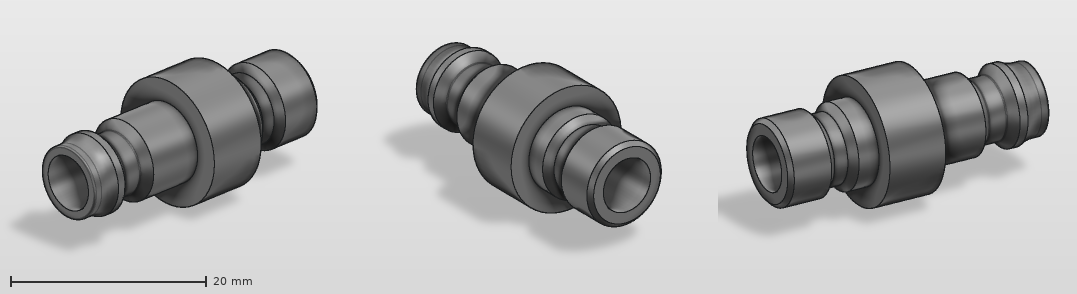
import cadquery as cq
import math

length = 31.0
bore_radius = 3.0

collar_radius = 7.0
collar_front = 13.95
collar_width = 6.57
collar_back = collar_front + collar_width

front_radius = 4.5
front_groove_radius = 3.5
front_groove_width = 2.05
front_groove_fillet = 0.2
lip_radius = 4.0
lip_length = 0.93
lip_fillet = 0.2
neck_length = 1.9
land_length = 0.93

back_radius = 4.75
back_groove_radius = 3.9
back_groove_width = 1.55
back_chamfer = 0.5
back_head_length = 4.9

neck_end = lip_length + neck_length
land_end = neck_end + land_length
front_flank = front_radius - front_groove_radius
front_groove_start = land_end + front_flank
front_groove_end = front_groove_start + front_groove_width

neck_rise = front_radius - lip_radius
neck_arc_radius = (neck_length**2 + neck_rise**2) / (2 * neck_rise)
neck_half_angle = math.asin(neck_length / neck_arc_radius) / 2
neck_mid = (
    lip_radius + neck_arc_radius * (1 - math.cos(neck_half_angle)),
    lip_length + neck_arc_radius * math.sin(neck_half_angle),
)

back_flank = back_radius - back_groove_radius
head_start = length - back_head_length
back_groove_end = head_start - back_flank
back_groove_start = back_groove_end - back_groove_width

body = (
    cq.Workplane("XY")
    .moveTo(0, 0)
    .lineTo(lip_radius, 0)
    .lineTo(lip_radius, lip_length)
    .threePointArc(neck_mid, (front_radius, neck_end))
    .lineTo(front_radius, land_end)
    .lineTo(front_groove_radius, front_groove_start)
    .lineTo(front_groove_radius, front_groove_end)
    .lineTo(front_radius, front_groove_end + front_flank)
    .lineTo(front_radius, collar_front)
    .lineTo(collar_radius, collar_front)
    .lineTo(collar_radius, collar_back)
    .lineTo(back_radius, collar_back)
    .lineTo(back_radius, back_groove_start - back_flank)
    .lineTo(back_groove_radius, back_groove_start)
    .lineTo(back_groove_radius, back_groove_end)
    .lineTo(back_radius, head_start)
    .lineTo(back_radius, length - back_chamfer)
    .lineTo(back_radius - back_chamfer, length)
    .lineTo(0, length)
    .close()
    .revolve(360, (0, 0, 0), (0, 1, 0))
)


def ring_edges(solid, position):
    """Circular edges lying in the plane at the given axial position."""
    margin = 0.015
    span = 2 * collar_radius
    slab = cq.selectors.BoxSelector(
        (-span, position - margin, -span), (span, position + margin, span), boundingbox=True
    )
    return solid.edges(slab)


body = ring_edges(body, 0).fillet(lip_fillet)
for corner in (front_groove_start, front_groove_end):
    body = ring_edges(body, corner).fillet(front_groove_fillet)

bore = cq.Workplane("XZ").circle(bore_radius).extrude(-length)
result = body.cut(bore).translate((0, -length / 2, 0))